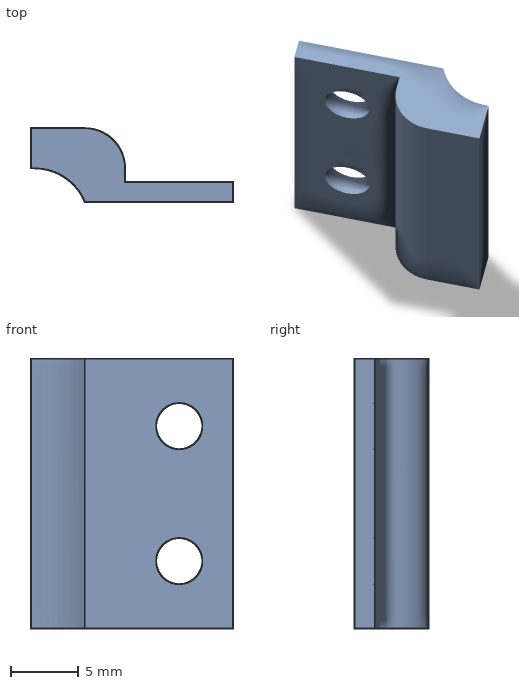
import cadquery as cq
import math

width = 15.0
depth = 5.5
height = 20.0

plate_thickness = 1.5
block_width = 7.0
corner_radius = 3.0

groove_radius = 4.0
groove_lip = 0.3
groove_depth = 2.5

hole_diameter = 3.4
hole_x = 11.0
hole_pitch = 10.0

groove_center_y = groove_depth - groove_radius


def groove_point(angle):
    """Point on the groove arc, with the angle measured from +X about its center."""
    return (
        groove_lip + groove_radius * math.cos(angle),
        groove_center_y + groove_radius * math.sin(angle),
    )


groove_end_angle = math.asin(-groove_center_y / groove_radius)
groove_start_angle = math.pi / 2
groove_middle_angle = (groove_start_angle + groove_end_angle) / 2

body = (
    cq.Workplane("XY")
    .moveTo(0, groove_depth)
    .lineTo(*groove_point(groove_start_angle))
    .threePointArc(groove_point(groove_middle_angle), groove_point(groove_end_angle))
    .lineTo(width, 0)
    .lineTo(width, plate_thickness)
    .lineTo(block_width, plate_thickness)
    .lineTo(block_width, depth - corner_radius)
    .radiusArc((block_width - corner_radius, depth), -corner_radius)
    .lineTo(0, depth)
    .close()
    .extrude(height)
)

hole_heights = [(height - hole_pitch) / 2, (height + hole_pitch) / 2]
holes = (
    cq.Workplane("XZ")
    .pushPoints([(hole_x, z) for z in hole_heights])
    .circle(hole_diameter / 2)
    .extrude(-plate_thickness)
)

result = body.cut(holes)